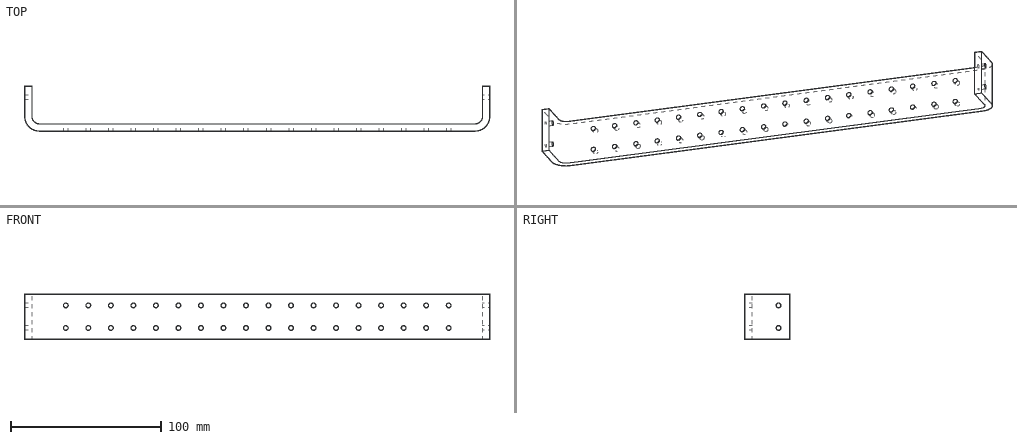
import cadquery as cq

length = 310.0
depth = 30.0
height = 30.0
thickness = 5.0
outer_radius = 10.0
inner_radius = outer_radius - thickness

hole_diameter = 3.0
web_columns = 18
web_hole_span = 255.0
column_pitch = web_hole_span / (web_columns - 1)
row_pitch = height / 2
flange_hole_inset = height / 4


def rounded_block(size_x, size_y, radius):
    """Block centred on X and Z, starting at Y = 0, with its two front vertical edges rounded."""
    block = cq.Workplane("XY").box(size_x, size_y, height, centered=(True, False, True))
    return block.faces("<Y").edges("|Z").fillet(radius)


def bent_strip():
    """U-shaped strip: a long web in front and a flange pointing to +Y at each end."""
    outside = rounded_block(length, depth, outer_radius)
    inside = rounded_block(length - 2 * thickness, depth, inner_radius)
    return outside.cut(inside.translate((0, thickness, 0)))


def web_holes():
    """Two rows of holes through the web."""
    return (
        cq.Workplane("XZ")
        .rarray(column_pitch, row_pitch, web_columns, 2)
        .circle(hole_diameter / 2)
        .extrude(-thickness)
    )


def flange_holes():
    """Two holes, one above the other, through both flanges."""
    return (
        cq.Workplane("YZ")
        .center(depth - flange_hole_inset, 0)
        .rarray(3, row_pitch, 1, 2)
        .circle(hole_diameter / 2)
        .extrude(length / 2, both=True)
    )


result = bent_strip().cut(web_holes()).cut(flange_holes())